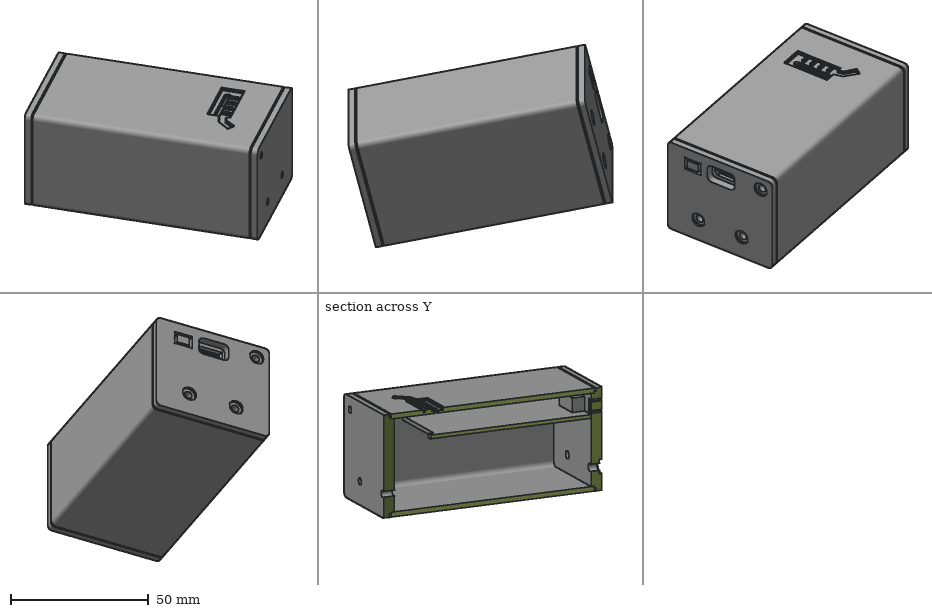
import cadquery as cq

LENGTH = 88.0
WIDTH = 46.0
HEIGHT = 39.0
CORNER_RADIUS = 2.0
WALL = 2.0

PLATE_THICKNESS = 2.5
SEAM_GAP = 0.6
SEAM_DEPTH = 1.2
PLUG_LENGTH = 1.4
CAP_THICKNESS = PLATE_THICKNESS + SEAM_GAP + PLUG_LENGTH
SLEEVE_LENGTH = LENGTH - 2 * (PLATE_THICKNESS + SEAM_GAP)

SCREW_PLACES = [(9.5, -10.5), (-9.5, -10.5), (-17.9, 14.4)]
CLEARANCE_DIAMETER = 2.9
THREAD_DIAMETER = 2.5
COUNTERBORE_DIAMETER = 5.5
COUNTERBORE_DEPTH = 1.0

PORT_Y = -0.4
RECESS_Z = 12.5
RECESS_WIDTH = 12.0
RECESS_HEIGHT = 7.1
RECESS_RADIUS = 2.0
RECESS_DEPTH = 3.1
PORT_WIDTH = 9.7
PORT_FOOT_WIDTH = 6.9
PORT_TOP = 14.4
PORT_SHOULDER = 12.0
PORT_BOTTOM = 10.4
PORT_CHAMFER = 0.7

BUTTON_Y = 12.0
BUTTON_Z = 12.7
BUTTON_WIDTH = 4.9
BUTTON_HEIGHT = 3.4
WINDOW_WIDTH = 7.1
WINDOW_HEIGHT = 5.1
HINGE_HEIGHT = 1.1
HINGE_THICKNESS = 0.9

SIGN_LEFT = 19.5
SIGN_RIGHT = 28.3
SIGN_BACK = 15.0
SIGN_FRONT = -3.9
CABLE_OUTLINE = [
    (23.8, SIGN_FRONT),
    (24.6, -7.5),
    (29.5, -11.5),
    (31.2, -9.0),
    (27.4, -6.0),
    (26.9, SIGN_FRONT),
]
SIGN_DEPTH = 1.0
SIGN_CHAMFER = 0.4
SLOT_X = 22.7
SLOT_Y = 4.8
SLOT_LENGTH = 15.7
SLOT_WIDTH = 2.3
SLOT_CHAMFER = 0.4
BAR_X = 25.9
BAR_LENGTH = 2.9
BAR_WIDTH = 1.1
BAR_RISE = 1.0
BAR_CHAMFER = 0.3
BAR_FIRST_Y = -0.7
BAR_PITCH = 3.6
BAR_COUNT = 4

SOCKET_WALL = 0.7
SOCKET_LENGTH = 5.0
SOCKET_MOUTH_DEPTH = 0.9
BOARD_THICKNESS = 1.6
BOARD_WIDTH = 35.2
BOARD_END_X = 22.9
TAB_Y = 9.2
TAB_WIDTH = 2.0
TAB_LENGTH = 2.0


def rounded_bar(width, height, x_start, length):
    """A bar along X with rounded long edges."""
    bar = cq.Workplane("YZ", origin=(x_start, 0, 0)).rect(width, height).extrude(length)
    return bar.edges("|X").fillet(CORNER_RADIUS)


def inset_bar(inset, x_start, length):
    """A rounded bar lying `inset` inside the outer surface on all four long sides."""
    return rounded_bar(WIDTH - 2 * inset, HEIGHT - 2 * inset, x_start, length)


def chamfered_cutter(outline, chamfer, depth):
    """A cutter going down from `outline`, narrowing at 45 degrees over the chamfer."""
    flare = outline.extrude(-chamfer, taper=45)
    shaft = flare.faces("<Z").wires().toPending().workplane().extrude(depth - chamfer)
    return flare.union(shaft)


def make_sign_cutter():
    top_z = HEIGHT / 2
    outline = [
        (SIGN_LEFT, SIGN_BACK),
        (SIGN_LEFT, SIGN_FRONT),
        *CABLE_OUTLINE,
        (SIGN_RIGHT, SIGN_FRONT),
        (SIGN_RIGHT, SIGN_BACK),
    ]
    top = cq.Workplane("XY", origin=(0, 0, top_z))
    cutter = chamfered_cutter(top.polyline(outline).close(), SIGN_CHAMFER, SIGN_DEPTH)

    floor = cq.Workplane("XY", origin=(0, 0, top_z - SIGN_DEPTH))
    floor_thickness = WALL - SIGN_DEPTH
    slot = floor.center(SLOT_X, SLOT_Y).slot2D(SLOT_LENGTH, SLOT_WIDTH, 90)
    cutter = cutter.union(chamfered_cutter(slot, SLOT_CHAMFER, floor_thickness))
    return cutter


def make_sign_bars():
    """The raised bars beside the slot, bevelled around their tops."""
    bar_z = HEIGHT / 2 - SIGN_DEPTH + BAR_RISE / 2
    bar = cq.Workplane("XY").box(BAR_LENGTH, BAR_WIDTH, BAR_RISE)
    bar = bar.faces(">Z").edges().chamfer(BAR_CHAMFER)
    bars = cq.Workplane("XY")
    for index in range(BAR_COUNT):
        bars = bars.union(bar.translate((BAR_X, BAR_FIRST_Y + index * BAR_PITCH, bar_z)))
    return bars


def make_sleeve():
    outside = inset_bar(0, -SLEEVE_LENGTH / 2, SLEEVE_LENGTH)
    bore = inset_bar(WALL, -SLEEVE_LENGTH / 2, SLEEVE_LENGTH)
    return outside.cut(bore).cut(make_sign_cutter()).union(make_sign_bars())


def make_blank_cap():
    """The cap at the -X end, without any openings."""
    plate_x = -LENGTH / 2
    land_x = plate_x + PLATE_THICKNESS
    plug_x = land_x + SEAM_GAP
    plate = inset_bar(0, plate_x, PLATE_THICKNESS)
    land = inset_bar(SEAM_DEPTH, land_x, SEAM_GAP)
    plug = inset_bar(WALL, plug_x, PLUG_LENGTH)
    return plate.union(land).union(plug)


def cap_cylinders(diameter, depth):
    """Cylinders at the screw places, going inward from the -X face."""
    face = cq.Workplane("YZ", origin=(-LENGTH / 2, 0, 0))
    return face.pushPoints(SCREW_PLACES).circle(diameter / 2).extrude(depth)


def make_far_cap():
    blank = make_blank_cap().mirror("YZ")
    return blank.cut(cap_cylinders(THREAD_DIAMETER, LENGTH))


def make_port_cutter():
    """The chamfered port opening, reaching through the cap and into the socket."""
    half_top = PORT_WIDTH / 2
    half_foot = PORT_FOOT_WIDTH / 2
    outline = [
        (-half_top, PORT_TOP),
        (-half_top, PORT_SHOULDER),
        (-half_foot, PORT_BOTTOM),
        (half_foot, PORT_BOTTOM),
        (half_top, PORT_SHOULDER),
        (half_top, PORT_TOP),
    ]
    plane = cq.Workplane("YZ", origin=(-LENGTH / 2 + RECESS_DEPTH, PORT_Y, 0))
    flare = plane.polyline(outline).close().extrude(PORT_CHAMFER, taper=45)
    straight_depth = CAP_THICKNESS - RECESS_DEPTH - PORT_CHAMFER + SOCKET_MOUTH_DEPTH
    straight = flare.faces(">X").wires().toPending().workplane().extrude(straight_depth)
    return flare.union(straight)


def make_port_cap():
    cap = make_blank_cap()
    cap = cap.cut(cap_cylinders(CLEARANCE_DIAMETER, CAP_THICKNESS))
    cap = cap.cut(cap_cylinders(COUNTERBORE_DIAMETER, COUNTERBORE_DEPTH))

    recess_plane = cq.Workplane("YZ", origin=(-LENGTH / 2, PORT_Y, RECESS_Z))
    recess = recess_plane.rect(RECESS_WIDTH, RECESS_HEIGHT).extrude(RECESS_DEPTH)
    cap = cap.cut(recess.edges("|X").fillet(RECESS_RADIUS)).cut(make_port_cutter())

    button_plane = cq.Workplane("YZ", origin=(-LENGTH / 2, BUTTON_Y, BUTTON_Z))
    window = button_plane.rect(WINDOW_WIDTH, WINDOW_HEIGHT)
    gap = window.rect(BUTTON_WIDTH, BUTTON_HEIGHT).extrude(CAP_THICKNESS)
    hinge_plane = button_plane.workplane(offset=CAP_THICKNESS - HINGE_THICKNESS)
    hinge = hinge_plane.center(WINDOW_WIDTH / 4, 0).rect(WINDOW_WIDTH / 2, HINGE_HEIGHT)
    return cap.cut(gap).union(hinge.extrude(HINGE_THICKNESS))


def make_circuit_board():
    start_x = -LENGTH / 2 + CAP_THICKNESS
    board_top = PORT_BOTTOM - SOCKET_WALL
    board_z = board_top - BOARD_THICKNESS / 2
    board_plane = cq.Workplane("YZ", origin=(start_x, 0, board_z))
    board = board_plane.rect(BOARD_WIDTH, BOARD_THICKNESS).extrude(BOARD_END_X - start_x)

    tab_plane = cq.Workplane("YZ", origin=(BOARD_END_X, TAB_Y, board_z))
    tab = tab_plane.rect(TAB_WIDTH, BOARD_THICKNESS).extrude(TAB_LENGTH)

    socket_width = PORT_WIDTH + 2 * SOCKET_WALL
    socket_height = PORT_TOP + SOCKET_WALL - board_top
    socket_plane = cq.Workplane("YZ", origin=(start_x, PORT_Y, board_top + socket_height / 2))
    socket = socket_plane.rect(socket_width, socket_height).extrude(SOCKET_LENGTH)
    return board.union(tab).union(socket).cut(make_port_cutter())


sleeve = make_sleeve()
port_cap = make_port_cap()
far_cap = make_far_cap()
circuit_board = make_circuit_board()

result = cq.Compound.makeCompound(
    [sleeve.val(), port_cap.val(), far_cap.val(), circuit_board.val()]
)